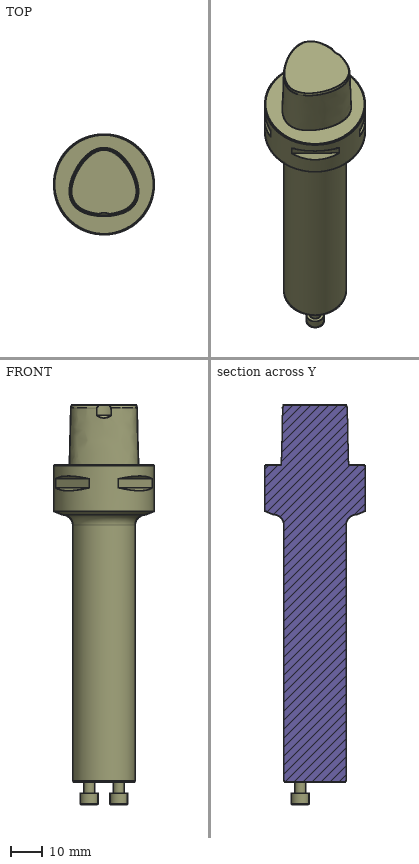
import cadquery as cq
import math

total_height = 127.0
flange_top = 108.0
groove_middle = 102.1
neck_bottom = 88.9
shaft_bottom = 7.2

flange_radius = 32.0 / 2
shaft_radius = 20.0 / 2
neck_fillet = 3.2
flange_underside_angle = math.radians(22)
flange_chamfer = 0.32
shaft_chamfer = 0.4

shank_mean_radius = 10.9
lobe_offset = 0.8
taper_per_side = 1 / 40
shank_chamfer_height = 0.9
shank_chamfer_width = 0.32
outline_points = 48

notch_radius = 4.7
notch_back = 9.0
notch_back_floor = 123.7
notch_floor_slope = 1.1

groove_floor_distance = 14.1
groove_floor_height = 2.8
groove_flank_slope = 0.5
groove_count = 4

screw_offset = 4.7
screw_diameter = 3.5
head_diameter = 5.7
head_height = 3.7
head_chamfer = 0.4


def make_body():
    """Revolved shaft, filleted neck and flange."""
    cone_start_radius = shaft_radius + neck_fillet
    cone_start_height = neck_bottom + neck_fillet
    cone_rise = (flange_radius - cone_start_radius) * math.tan(flange_underside_angle)
    return (
        cq.Workplane("XZ")
        .moveTo(0, shaft_bottom)
        .lineTo(shaft_radius - shaft_chamfer, shaft_bottom)
        .lineTo(shaft_radius, shaft_bottom + shaft_chamfer)
        .lineTo(shaft_radius, neck_bottom)
        .tangentArcPoint((cone_start_radius, cone_start_height), relative=False)
        .lineTo(flange_radius, cone_start_height + cone_rise)
        .lineTo(flange_radius, flange_top - flange_chamfer)
        .lineTo(flange_radius - flange_chamfer, flange_top)
        .lineTo(0, flange_top)
        .close()
        .revolve(360, (0, 0), (0, 1))
    )


def shank_outline(height, mean_radius):
    """Closed three-lobed trochoid with one lobe pointing to +Y."""
    points = []
    for index in range(outline_points):
        angle = 2 * math.pi * index / outline_points
        x = mean_radius * math.sin(angle) - lobe_offset * math.sin(2 * angle)
        y = mean_radius * math.cos(angle) + lobe_offset * math.cos(2 * angle)
        points.append(cq.Vector(x, y, height))
    return cq.Wire.assembleEdges([cq.Edge.makeSpline(points, periodic=True)])


def make_shank():
    """Tapered shank with a chamfered end."""
    chamfer_start = total_height - shank_chamfer_height
    upper_radius = shank_mean_radius - taper_per_side * (chamfer_start - flange_top)
    base = shank_outline(flange_top, shank_mean_radius)
    upper = shank_outline(chamfer_start, upper_radius)
    end = shank_outline(total_height, upper_radius - shank_chamfer_width)
    taper = cq.Solid.makeLoft([base, upper], True)
    chamfer = cq.Solid.makeLoft([upper, end], True)
    return cq.Workplane(taper).union(cq.Workplane(chamfer))


def make_notch():
    """Round-backed notch with a conical floor that falls away toward -Y."""
    axis_floor = notch_back_floor - notch_floor_slope * notch_radius
    return (
        cq.Workplane("XZ")
        .moveTo(0, axis_floor)
        .lineTo(notch_radius, notch_back_floor)
        .lineTo(notch_radius, total_height)
        .lineTo(0, total_height)
        .close()
        .revolve(360, (0, 0), (0, 1))
        .translate((0, -(notch_back + notch_radius), 0))
    )


def make_groove():
    """Straight groove with flared flanks, cut across the +X side of the flange."""
    depth = flange_radius - groove_floor_distance
    floor_half = groove_floor_height / 2
    mouth_half = floor_half + groove_flank_slope * depth
    return (
        cq.Workplane("XZ")
        .moveTo(groove_floor_distance, groove_middle - floor_half)
        .lineTo(flange_radius, groove_middle - mouth_half)
        .lineTo(flange_radius, groove_middle + mouth_half)
        .lineTo(groove_floor_distance, groove_middle + floor_half)
        .close()
        .extrude(flange_radius, both=True)
    )


def make_screw(x, y):
    """Screw hanging below the shaft, with its head at the bottom."""
    head = cq.Workplane("XY").circle(head_diameter / 2).extrude(head_height)
    head = head.faces("<Z").edges().chamfer(head_chamfer)
    stem = cq.Workplane("XY").circle(screw_diameter / 2).extrude(shaft_bottom)
    return head.union(stem).translate((x, y, 0))


result = make_body().union(make_shank()).cut(make_notch())

for index in range(groove_count):
    groove_angle = 45 + index * 360 / groove_count
    result = result.cut(make_groove().rotate((0, 0, 0), (0, 0, 1), groove_angle))

for side in (-1, 1):
    result = result.union(make_screw(side * screw_offset, -side * screw_offset))